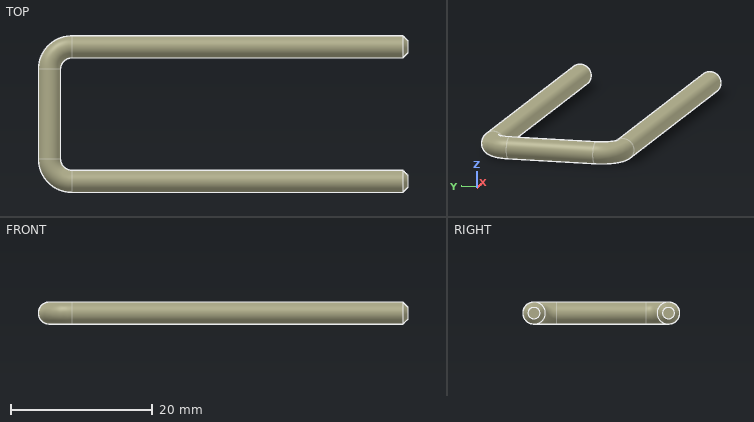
import cadquery as cq
import math

rod_diameter = 3.175
overall_length = 52.3875
leg_spacing = 19.05
bend_radius = 3.175
tip_chamfer = 0.762

rod_radius = rod_diameter / 2
leg_tip_x = overall_length - rod_radius
leg_y = leg_spacing / 2
crossbar_end_y = leg_y - bend_radius
bend_mid_offset = bend_radius * math.sin(math.radians(45))
bend_mid_x = bend_radius - bend_mid_offset
bend_mid_y = crossbar_end_y + bend_mid_offset


def rod_centreline():
    """U-shaped path in the XY plane: leg, bend, crossbar, bend, leg."""
    return (
        cq.Workplane("XY")
        .moveTo(leg_tip_x, -leg_y)
        .lineTo(bend_radius, -leg_y)
        .threePointArc((bend_mid_x, -bend_mid_y), (0, -crossbar_end_y))
        .lineTo(0, crossbar_end_y)
        .threePointArc((bend_mid_x, bend_mid_y), (bend_radius, leg_y))
        .lineTo(leg_tip_x, leg_y)
    )


def bent_rod():
    """Round rod swept along the U-shaped centreline."""
    section = cq.Workplane("YZ", origin=(leg_tip_x, -leg_y, 0)).circle(rod_radius)
    return section.sweep(rod_centreline())


def chamfer_tips(rod):
    """Chamfer the free ends of both legs."""
    return rod.faces(">X").edges().chamfer(tip_chamfer)


result = chamfer_tips(bent_rod())